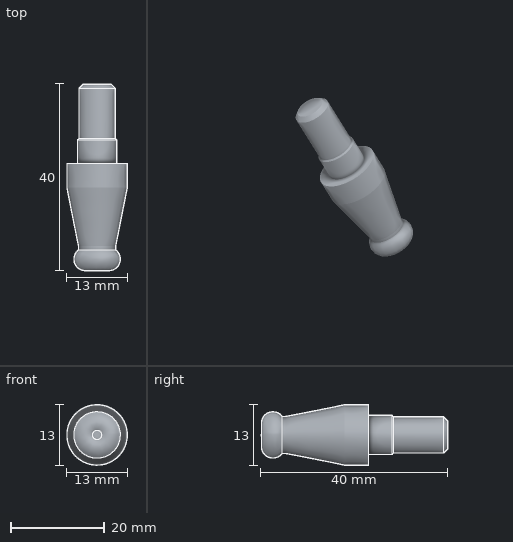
import cadquery as cq
import math

length = 40.0

bead_radius = 5.0
bead_tube_radius = bead_radius / 2
dimple_floor_radius = 1.0
neck_radius = 4.0
collar_diameter = 13.0
collar_radius = collar_diameter / 2
shoulder_radius = 4.25
shank_radius = 3.9

neck_end = 5.25
collar_start = 17.85
collar_end = 23.0
shoulder_end = 28.0
shank_chamfer = 0.9
shoulder_chamfer = shoulder_radius - shank_radius

ring_center_radius = bead_radius - bead_tube_radius


def ring_half_width(radius):
    """Axial half width of the bead ring at a distance from the axis."""
    return math.sqrt(bead_tube_radius**2 - (radius - ring_center_radius) ** 2)


neck_start = bead_tube_radius + ring_half_width(neck_radius)
dimple_depth = bead_tube_radius - ring_half_width(dimple_floor_radius)

profile = (
    cq.Workplane("XY")
    .moveTo(0, dimple_depth)
    .lineTo(dimple_floor_radius, dimple_depth)
    .threePointArc((bead_radius, bead_tube_radius), (neck_radius, neck_start))
    .lineTo(neck_radius, neck_end)
    .lineTo(collar_radius, collar_start)
    .lineTo(collar_radius, collar_end)
    .lineTo(shoulder_radius, collar_end)
    .lineTo(shoulder_radius, shoulder_end)
    .lineTo(shank_radius, shoulder_end + shoulder_chamfer)
    .lineTo(shank_radius, length - shank_chamfer)
    .lineTo(shank_radius - shank_chamfer, length)
    .lineTo(0, length)
    .close()
)

result = profile.revolve(360, (0, 0, 0), (0, 1, 0)).translate((0, -length / 2, 0))